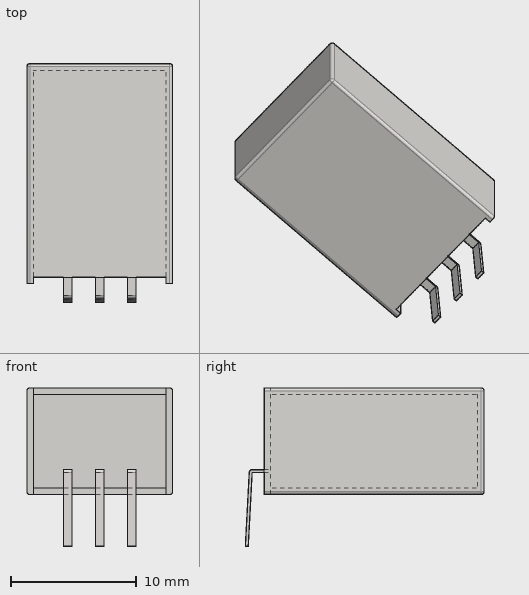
import cadquery as cq
import math

CASE_WIDTH = 11.6
CASE_LENGTH = 17.5
CASE_HEIGHT = 8.5
WALL = 0.55
EDGE_RADIUS = 0.25
FRONT_RECESS = 0.5

PIN_COUNT = 3
PIN_PITCH = 2.54
PIN_WIDTH = 0.7
PIN_THICKNESS = 0.25
PIN_TOP_Z = 2.0
PIN_TIP_Z = -4.1
PIN_REACH = 1.5
PIN_LEAN = math.radians(3)
PIN_BEND_RADIUS = 0.25

INNER_WIDTH = CASE_WIDTH - 2 * WALL
INNER_HEIGHT = CASE_HEIGHT - 2 * WALL

POTTING_FACE_Y = FRONT_RECESS
CAVITY_BACK_Y = CASE_LENGTH - WALL


def inner_block(front_y, back_y, bottom_z, height):
    """Block as wide as the cavity, between two Y positions."""
    length = back_y - front_y
    return (
        cq.Workplane("XY")
        .box(INNER_WIDTH, length, height, centered=(True, False, False))
        .translate((0, front_y, bottom_z))
    )


def make_case():
    """Rounded shell, with floor and roof set back between the side walls."""
    shell = (
        cq.Workplane("XY")
        .box(CASE_WIDTH, CASE_LENGTH, CASE_HEIGHT, centered=(True, False, False))
        .edges("|Y or >Y")
        .fillet(EDGE_RADIUS)
    )
    cavity = inner_block(0, CAVITY_BACK_Y, WALL, INNER_HEIGHT)
    front_notch = inner_block(0, FRONT_RECESS, 0, CASE_HEIGHT)
    return shell.cut(cavity).cut(front_notch)


def make_potting():
    """Solid fill of the cavity, flush with the front of the floor and roof."""
    return inner_block(POTTING_FACE_Y, CAVITY_BACK_Y, WALL, INNER_HEIGHT)


def make_pin(center_x):
    """Bent strip with a sharp inner corner and a rounded outer corner."""
    tip_front_y = -PIN_REACH
    tip_back_y = tip_front_y + PIN_THICKNESS / math.cos(PIN_LEAN)
    underside_z = PIN_TOP_Z - PIN_THICKNESS
    outer_corner_y = tip_front_y + (PIN_TOP_Z - PIN_TIP_Z) * math.tan(PIN_LEAN)
    inner_corner_y = tip_back_y + (underside_z - PIN_TIP_Z) * math.tan(PIN_LEAN)
    strip = (
        cq.Workplane("YZ")
        .moveTo(POTTING_FACE_Y, PIN_TOP_Z)
        .lineTo(outer_corner_y, PIN_TOP_Z)
        .lineTo(tip_front_y, PIN_TIP_Z)
        .lineTo(tip_back_y, PIN_TIP_Z)
        .lineTo(inner_corner_y, underside_z)
        .lineTo(POTTING_FACE_Y, underside_z)
        .close()
        .extrude(PIN_WIDTH / 2, both=True)
    )
    outer_corner = cq.selectors.NearestToPointSelector((0, outer_corner_y, PIN_TOP_Z))
    return strip.edges(outer_corner).fillet(PIN_BEND_RADIUS).translate((center_x, 0, 0))


case = make_case()
potting = make_potting()
pins = []
for index in range(PIN_COUNT):
    offset = (index - (PIN_COUNT - 1) / 2) * PIN_PITCH
    pins.append(make_pin(offset))

result = cq.Compound.makeCompound([case.val(), potting.val(), *[pin.val() for pin in pins]])